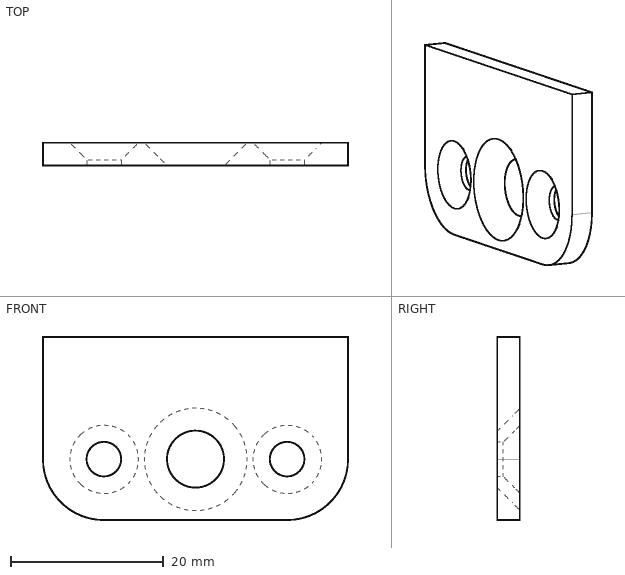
import cadquery as cq
import math

width = 40.0
thickness = 3.0
height = 24.0
corner_radius = 8.0

hole_row_height = corner_radius
side_hole_offset = width / 2 - corner_radius
side_hole_diameter = 4.5

countersink_angle = 90.0
center_countersink_diameter = 13.44
side_countersink_diameter = 8.96

back_y = thickness / 2
back_plane = cq.Plane(origin=(0, back_y, hole_row_height), xDir=(1, 0, 0), normal=(0, -1, 0))


def make_plate():
    """Upright plate with its two bottom corners rounded."""
    plate = cq.Workplane("XY").box(width, thickness, height, centered=(True, True, False))
    return plate.edges("|Y and <Z").fillet(corner_radius)


def make_hole(x, diameter):
    """Straight cylinder through the full thickness."""
    return cq.Workplane(back_plane).center(x, 0).circle(diameter / 2).extrude(thickness)


def make_countersink(x, diameter, depth):
    """Cone frustum that narrows from the back face over the given depth."""
    return (
        cq.Workplane(back_plane)
        .center(x, 0)
        .circle(diameter / 2)
        .extrude(depth, taper=countersink_angle / 2)
    )


def make_countersunk_hole(x, hole_diameter, countersink_diameter):
    """Straight hole whose countersink ends where the cone reaches the hole diameter."""
    half_angle = math.radians(countersink_angle / 2)
    depth = (countersink_diameter - hole_diameter) / 2 / math.tan(half_angle)
    return make_hole(x, hole_diameter).union(make_countersink(x, countersink_diameter, depth))


result = make_plate()

result = result.cut(make_countersink(0, center_countersink_diameter, thickness))

for side in (-1, 1):
    side_hole = make_countersunk_hole(side * side_hole_offset, side_hole_diameter, side_countersink_diameter)
    result = result.cut(side_hole)